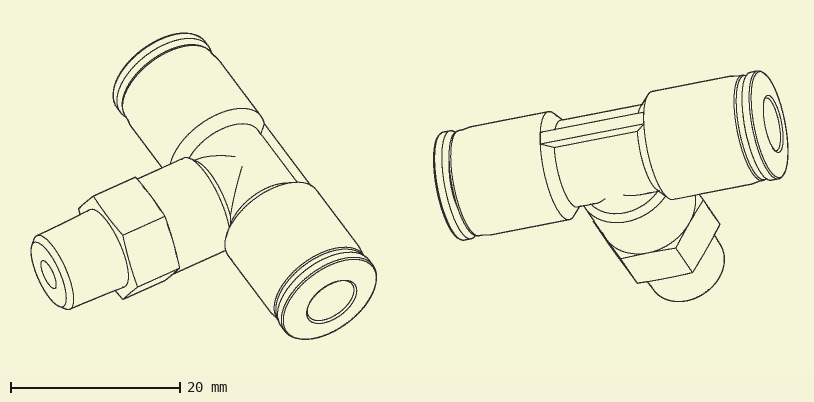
import cadquery as cq
import math

run_half_length = 20.4
sleeve_radius = 13.0 / 2
branch_end = 33.3 - sleeve_radius

neck_radius = 5.22
shoulder_outer_x = sleeve_radius
cap_radius = 12.7 / 2
cap_taper_start_x = 16.3
cap_taper_end_x = 17.3
cap_end_x = 18.03
cap_edge_length = 0.25
cap_edge_drop = 0.1

stem_radius = 3.88
stem_root_radius = 4.0
stem_root_x = 18.5
collar_back_x = 18.85
collar_rim_x = 19.75
collar_face_x = 19.95
collar_face_radius = 6.35

passage_radius = 4.5 / 2
socket_radius = 6.35 / 2
socket_floor_x = neck_radius
mouth_radius = 3.43
mouth_depth = mouth_radius - socket_radius

web_thickness = 1.65

branch_radius = 12.0 / 2
shoulder_start = 4.7
shoulder_end = shoulder_start + branch_radius - neck_radius
thread_length = 8.0
hex_flats = 12.0
hex_length = 6.0
hex_corner_radius = hex_flats / math.sqrt(3)
hex_corner_drop = 0.12
hex_end = branch_end - thread_length
hex_start = hex_end - hex_length

thread_root_radius = 4.995
thread_taper = 1 / 32
tip_chamfer_length = 0.65
tip_chamfer_width = 0.6
thread_tip_radius = thread_root_radius - thread_taper * (thread_length - tip_chamfer_length)
branch_hole_radius = 3.6 / 2


def revolve_about_x(points):
    """Revolve a closed (x, radius) outline about the run axis."""
    return cq.Workplane("XY").polyline(points).close().revolve(360, (0, 0, 0), (1, 0, 0))


def revolve_about_branch(points):
    """Revolve a closed (distance along -Y, radius) outline about the branch axis."""
    outline = [(radius, -distance) for distance, radius in points]
    return cq.Workplane("XY").polyline(outline).close().revolve(360, (0, 0, 0), (0, 1, 0))


def both_ends(half):
    """Join a +X half of the run to its mirror image."""
    return half.union(half.mirror("YZ"))


def make_run():
    return both_ends(revolve_about_x([
        (0, 0),
        (0, neck_radius),
        (neck_radius, neck_radius),
        (shoulder_outer_x, sleeve_radius),
        (cap_taper_start_x, sleeve_radius),
        (cap_taper_end_x, cap_radius),
        (cap_end_x - cap_edge_length, cap_radius),
        (cap_end_x, cap_radius - cap_edge_drop),
        (cap_end_x, stem_radius),
        (stem_root_x, stem_radius),
        (collar_back_x, stem_root_radius),
        (collar_back_x, sleeve_radius),
        (collar_rim_x, sleeve_radius),
        (collar_face_x, collar_face_radius),
        (run_half_length, mouth_radius),
        (run_half_length, 0),
    ]))


def make_run_bore():
    return both_ends(revolve_about_x([
        (0, 0),
        (0, passage_radius),
        (socket_floor_x, passage_radius),
        (socket_floor_x, socket_radius),
        (run_half_length - mouth_depth, socket_radius),
        (run_half_length, mouth_radius),
        (run_half_length, 0),
    ]))


def make_web():
    web_height = math.sqrt(sleeve_radius**2 - (web_thickness / 2)**2)
    return cq.Workplane("XY").box(
        2 * shoulder_outer_x, web_height, web_thickness, centered=(True, False, True)
    )


def make_branch():
    return revolve_about_branch([
        (0, 0),
        (0, neck_radius),
        (shoulder_start, neck_radius),
        (shoulder_end, branch_radius),
        (hex_end, branch_radius),
        (hex_end, thread_root_radius),
        (branch_end - tip_chamfer_length, thread_tip_radius),
        (branch_end, thread_tip_radius - tip_chamfer_width),
        (branch_end, 0),
    ])


def make_hexagon():
    prism = (
        cq.Workplane("XZ", origin=(0, -hex_start, 0))
        .polygon(6, 2 * hex_corner_radius)
        .extrude(hex_length)
    )
    corner_trim = revolve_about_branch([
        (hex_start, 0),
        (hex_start, hex_flats / 2),
        (hex_start + hex_corner_drop, hex_corner_radius),
        (hex_end - hex_corner_drop, hex_corner_radius),
        (hex_end, hex_flats / 2),
        (hex_end, 0),
    ])
    return prism.intersect(corner_trim)


branch_hole = cq.Workplane("XZ").circle(branch_hole_radius).extrude(branch_end)

result = (
    make_run()
    .union(make_web())
    .union(make_branch())
    .union(make_hexagon())
    .cut(make_run_bore())
    .cut(branch_hole)
)